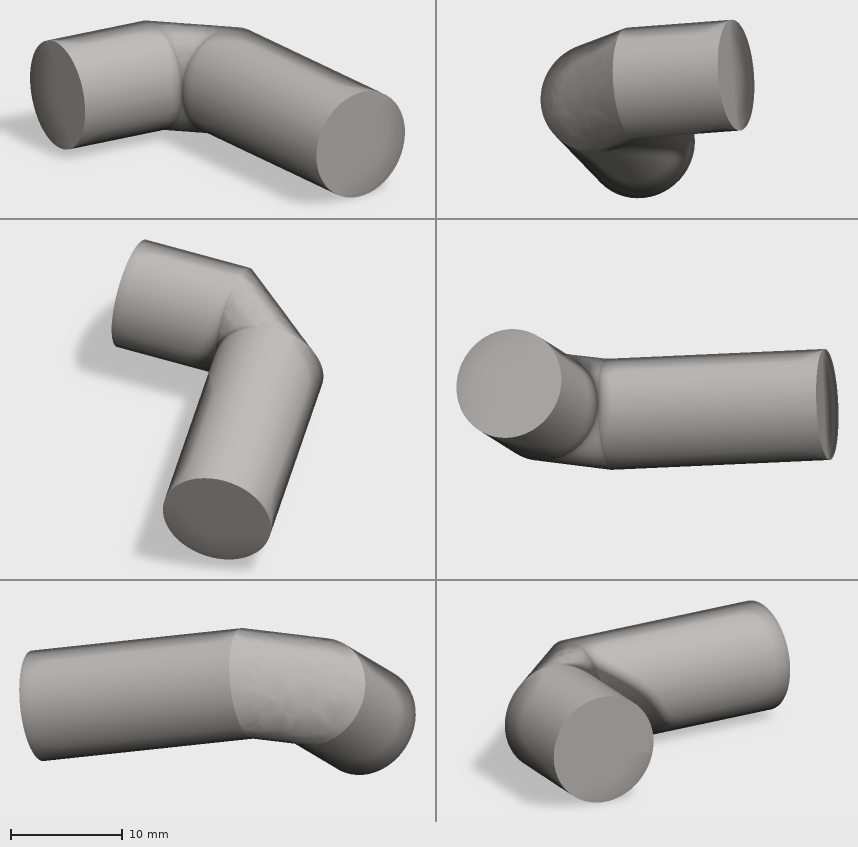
import cadquery as cq
import math

overall_x = 29.83
diameter = 10.0
leg_length = 10.0
arm_tilt = 7.5

radius = diameter / 2
tilt = math.radians(arm_tilt)
arm_length = (overall_x - diameter) / math.cos(tilt)

inner_corner = (radius, leg_length)
leg_outer_corner = (-radius, leg_length)
arm_outer_corner = (
    radius - diameter * math.sin(tilt),
    leg_length + diameter * math.cos(tilt),
)


def midpoint(a, b):
    return ((a[0] + b[0]) / 2, (a[1] + b[1]) / 2)


def make_leg():
    """Straight round leg along +Y."""
    return cq.Workplane(cq.Plane((0, 0, 0), (0, 0, 1), (0, 1, 0))).circle(radius).extrude(leg_length)


def make_bend():
    """Elliptical cylinder mitred so that both of its end faces are full circles."""
    half_turn = (math.pi / 2 - tilt) / 2
    outer_length = 2 * diameter * math.sin(half_turn)
    depth_radius = radius * math.cos(half_turn)
    outer_middle = midpoint(leg_outer_corner, arm_outer_corner)
    center = midpoint(outer_middle, inner_corner)
    inward = (math.cos(half_turn), -math.sin(half_turn), 0)
    direction = (math.sin(half_turn), math.cos(half_turn), 0)
    section = cq.Plane((*center, 0), inward, direction)
    tube = (
        cq.Workplane(section)
        .workplane(offset=-outer_length)
        .ellipse(depth_radius, radius)
        .extrude(2 * outer_length)
    )
    wedge = (
        cq.Workplane("XY")
        .polyline([inner_corner, arm_outer_corner, leg_outer_corner])
        .close()
        .extrude(diameter, both=True)
    )
    return tube.intersect(wedge)


def make_elbow():
    """Leg and mitred bend as one solid."""
    return make_leg().union(make_bend())


def make_arm():
    """Straight round arm leaving the bend, tilted from +X."""
    center = midpoint(inner_corner, arm_outer_corner)
    direction = (math.cos(tilt), math.sin(tilt), 0)
    end_face = cq.Plane((*center, 0), (0, 0, 1), direction)
    return cq.Workplane(end_face).circle(radius).extrude(arm_length)


elbow = make_elbow()
arm = make_arm()

result = cq.Compound.makeCompound([elbow.val(), arm.val()])